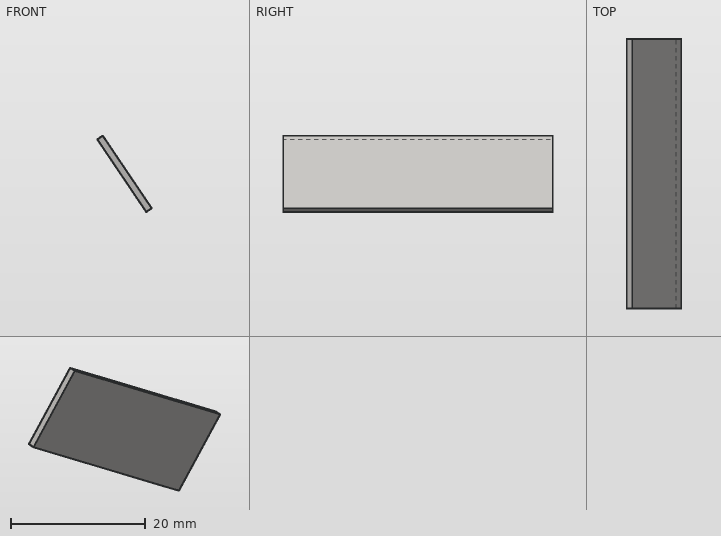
import cadquery as cq

plate_length = 40.0
plate_width = 13.0
plate_thickness = 1.0
slope_angle = 56.0

flat_plate = cq.Workplane("XY").box(plate_width, plate_length, plate_thickness)
result = flat_plate.rotate((0, 0, 0), (0, 1, 0), slope_angle)